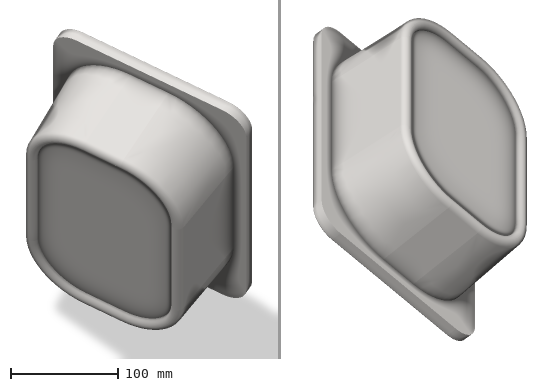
import cadquery as cq
import math

flange_width = 208.3
flange_height = 298.5
flange_thickness = 11.5
flange_corner_radius = 25.7
flange_back_round = 1.5

total_depth = 100.0
flange_margin = 13.7
body_corner_radius = 70.0
draft_angle = 4.0

rim_outer_round = 6.3
rim_inner_round = 6.3
recess_depth = rim_inner_round

body_width = flange_width - 2 * flange_margin
body_height = flange_height - 2 * flange_margin
body_depth = total_depth - flange_thickness

draft_inset = body_depth * math.tan(math.radians(draft_angle))

outer_round_width = rim_outer_round * math.tan(math.radians((90 - draft_angle) / 2))

recess_inset = draft_inset + outer_round_width + rim_inner_round
recess_width = body_width - 2 * recess_inset
recess_height = body_height - 2 * recess_inset
recess_corner_radius = body_corner_radius - recess_inset


def rounded_rectangle(y, width, height, corner_radius):
    """Closed outline parallel to XZ at the given Y, ready to extrude towards -Y."""
    sketch = cq.Sketch().rect(width, height).vertices().fillet(corner_radius)
    return cq.Workplane("XZ", origin=(0, y, 0)).placeSketch(sketch)


def make_flange():
    plate = rounded_rectangle(0, flange_width, flange_height, flange_corner_radius)
    return plate.extrude(flange_thickness).faces(">Y").edges().fillet(flange_back_round)


def make_body():
    outline = rounded_rectangle(-flange_thickness, body_width, body_height, body_corner_radius)
    body = outline.extrude(body_depth, taper=draft_angle)
    return body.faces("<Y").edges().fillet(rim_outer_round)


def make_recess():
    """Straight-walled pocket plus the flare that rounds the inner side of the rim."""
    panel_y = recess_depth - total_depth
    pocket = rounded_rectangle(panel_y, recess_width, recess_height, recess_corner_radius)
    pocket = pocket.extrude(recess_depth)

    wall_x = recess_width / 2
    crest_x = wall_x + rim_inner_round
    arc_offset = rim_inner_round * math.sqrt(0.5)
    flare_profile = (
        cq.Workplane("XY")
        .moveTo(wall_x, panel_y)
        .threePointArc((crest_x - arc_offset, panel_y - arc_offset), (crest_x, -total_depth))
        .lineTo(wall_x, -total_depth)
        .close()
    )
    path = pocket.faces(">Y").wires()
    return pocket.union(flare_profile.sweep(path))


result = make_flange().union(make_body()).cut(make_recess())